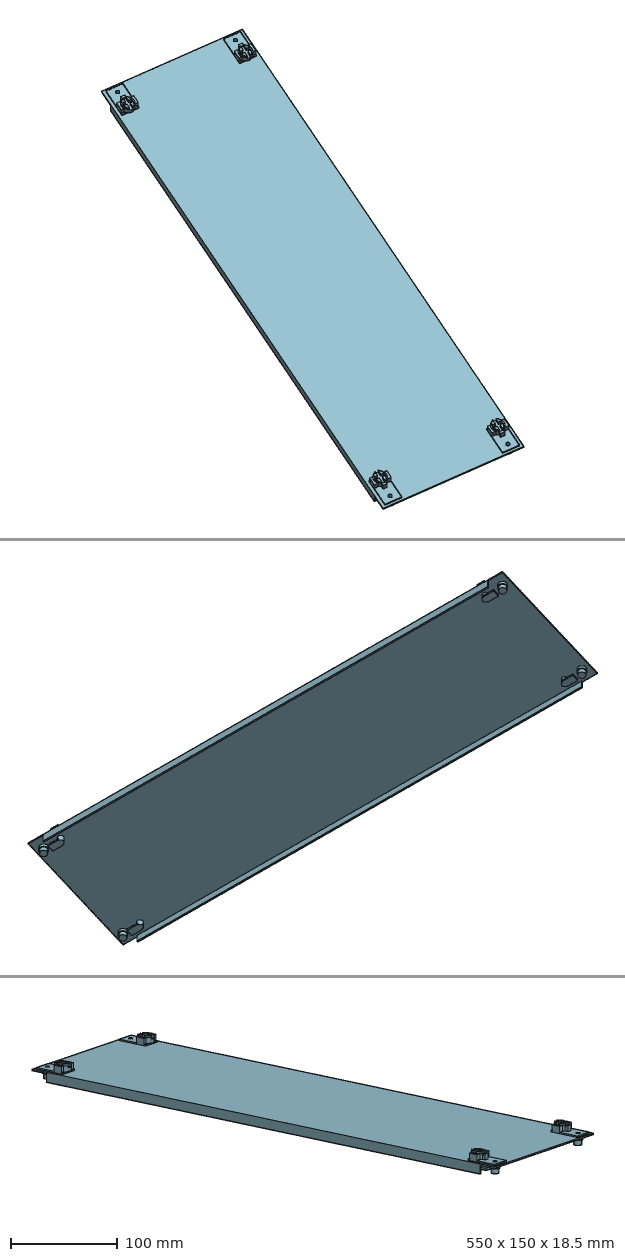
import cadquery as cq

length = 550.0
width = 150.0
height = 18.5

sheet = 1.55
panel_top = 10.0
flange_inset = 17.0

plate_length = 31.5
plate_width = 18.0
plate_thickness = 1.4
plate_end_gap = 2.5
plate_side_gap = 3.5
plate_top = panel_top + plate_thickness
plate_x = plate_end_gap - length / 2
plate_center_y = width / 2 - plate_side_gap - plate_width / 2

post_x = 9.0 - length / 2
post_diameter = 9.5
post_tip_diameter = 7.5
post_step_z = 5.0
post_hole_diameter = 4.0

block_length = 9.0
block_top = 17.0
block_end_gap = 1.5
block_x = plate_x + plate_length - block_end_gap - block_length / 2

knob_x = 28.5 - length / 2
disc_diameter = 14.0
grip_length = 14.5
grip_width = 10.5
pointer_reach = 10.0
pointer_width = 4.5
slot_width = 3.5
slot_depth = 3.5
slot_bottom = height - slot_depth
shaft_diameter = 6.5
cam_reach = 12.0
cam_width = 7.5
cam_bottom = 1.5
cam_top = 4.0

CORNERS = [(1, 1), (1, -1), (-1, 1), (-1, -1)]


def box(size_x, size_y, bottom, top, x=0.0, y=0.0):
    """Box centred on (x, y) between two heights."""
    return cq.Workplane().box(size_x, size_y, top - bottom).translate((x, y, (bottom + top) / 2))


def cylinder(diameter, bottom, top, x):
    """Vertical cylinder on the centre line of a plate."""
    return (
        cq.Workplane(origin=(x, plate_center_y, bottom))
        .circle(diameter / 2)
        .extrude(top - bottom)
    )


def to_corner(body, side_x, side_y):
    """Copy a body of the -X, +Y corner into another corner by mirroring."""
    if side_x > 0:
        body = body.mirror("YZ")
    if side_y < 0:
        body = body.mirror("XZ")
    return body


def outward_arm(reach, arm_width, bottom, top):
    """Bar from the knob axis towards the post."""
    return box(reach, arm_width, bottom, top, knob_x - reach / 2, plate_center_y)


def make_knob_blank():
    """Knob before its slots are cut."""
    disc = cylinder(disc_diameter, plate_top, block_top, knob_x)
    grip = (
        cq.Workplane(origin=(knob_x, plate_center_y, plate_top))
        .ellipse(grip_length / 2, grip_width / 2)
        .extrude(height - plate_top)
    )
    pointer = outward_arm(pointer_reach, pointer_width, plate_top, block_top)
    shaft = cylinder(shaft_diameter, cam_bottom, plate_top, knob_x)
    cam = outward_arm(cam_reach, cam_width, cam_bottom, cam_top)
    return disc.union(grip).union(pointer).union(shaft).union(cam)


def cut_slots(blank):
    long_slot = box(grip_length, slot_width, slot_bottom, height, knob_x, plate_center_y)
    cross_slot = box(slot_width, grip_width, slot_bottom, height, knob_x, plate_center_y)
    return blank.cut(long_slot).cut(cross_slot)


def make_plate(knob_blank):
    plate_mid_x = plate_x + plate_length / 2
    plate = box(plate_length, plate_width, panel_top, plate_top, plate_mid_x, plate_center_y)
    block = box(block_length, plate_width, panel_top, block_top, block_x, plate_center_y)
    post = cylinder(post_diameter, post_step_z, panel_top, post_x)
    tip = cylinder(post_tip_diameter, 0, post_step_z, post_x)
    hole = cylinder(post_hole_diameter, post_step_z, plate_top, post_x)
    return plate.union(block).union(post).union(tip).cut(hole).cut(knob_blank)


def make_panel():
    panel = box(length, width, panel_top - sheet, panel_top)
    for side in (-1, 1):
        flange_y = side * (width - sheet) / 2
        panel = panel.union(box(length - 2 * flange_inset, sheet, 0, panel_top, 0, flange_y))
    post_hole = cylinder(post_diameter, 0, panel_top, post_x)
    shaft_hole = cylinder(shaft_diameter, 0, panel_top, knob_x)
    for corner in CORNERS:
        panel = panel.cut(to_corner(post_hole, *corner)).cut(to_corner(shaft_hole, *corner))
    return panel


panel = make_panel()
knob_blank = make_knob_blank()
knob = cut_slots(knob_blank)
plate = make_plate(knob_blank)
plates = [to_corner(plate, *corner) for corner in CORNERS]
knobs = [to_corner(knob, *corner) for corner in CORNERS]

bodies = [panel, *plates, *knobs]

result = cq.Compound.makeCompound([body.val() for body in bodies])